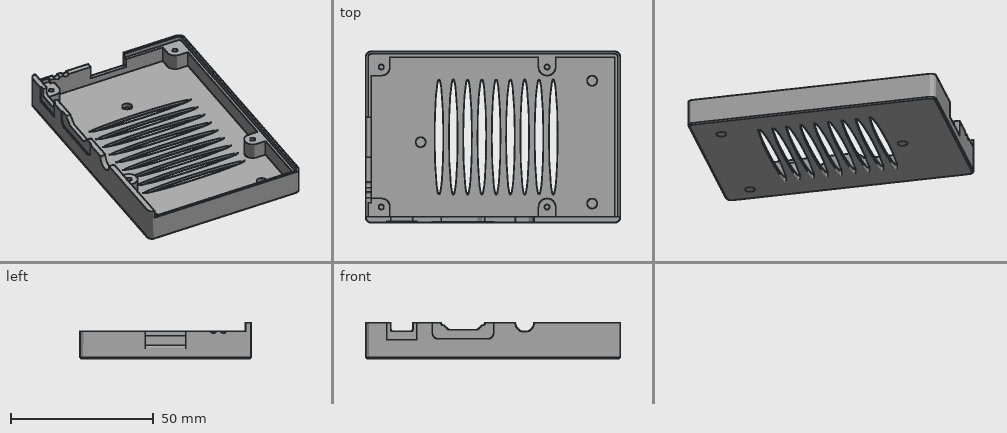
import cadquery as cq

LENGTH = 89.16
WIDTH = 59.96
FRONT_HEIGHT = 12.6
RIM_HEIGHT = 9.6
WALL = 2.0
FLOOR = 2.0
CORNER_RADIUS = 2.0
BOTTOM_CHAMFER = 0.5

LEDGE_HEIGHT = 8.0
RIM_THICKNESS = 0.9
RIM_CORNER_RADIUS = CORNER_RADIUS - RIM_THICKNESS

LEFT = -LENGTH / 2
INNER_LEFT = LEFT + WALL
FRONT = -WIDTH / 2
INNER_FRONT = FRONT + WALL
CAVITY_WIDTH = WIDTH - 2 * WALL

HOLE_INSET = 3.5
HOLE_PITCH_X = 58.0
HOLE_PITCH_Y = 49.0
POST_RADIUS = 3.0
SCREW_DIAMETER = 1.8
SCREW_X = (INNER_LEFT + HOLE_INSET, INNER_LEFT + HOLE_INSET + HOLE_PITCH_X)

RECESS_DIAMETER = 3.5
RECESS_DEPTH = 1.75
RECESS_CENTRES = ((-25.3, -1.8), (34.7, 19.7), (34.7, -23.3))

SLOT_COUNT = 9
SLOT_PITCH = 5.0
SLOT_FIRST_X = -18.9
SLOT_HALF_LENGTH = 20.05
SLOT_HALF_WIDTH = 1.48
SLOT_ROUND = 0.45

CARD_WIDTH = 14.0
CARD_SILL = 4.6
CARD_SILL_ROUND = 1.0

PAD_END_Y = -23.0
GROOVE_RADIUS = 1.1
GROOVE_DEPTH = 0.7
GROOVE_CENTRES_Y = (-16.75, -20.25)

POWER_X = -31.9
POWER_WIDTH = 7.7
POWER_DEPTH = 3.1
POWER_RADIUS = 0.85
POWER_RECESS_WIDTH = 10.4
POWER_RECESS_DEPTH = 6.0
POWER_RECESS_INSET = 0.5

VIDEO_X = -10.5
VIDEO_TOP_WIDTH = 15.3
VIDEO_STEP_DEPTH = 0.9
VIDEO_STEP_WIDTH = 13.45
VIDEO_BOTTOM_WIDTH = 10.1
VIDEO_DEPTH = 2.5
VIDEO_RADIUS = 0.65
VIDEO_RECESS_WIDTH = 21.4
VIDEO_RECESS_DEPTH = 5.7
VIDEO_RECESS_RADIUS = 2.0
VIDEO_RECESS_INSET = 0.4

AUDIO_X = 11.1
AUDIO_RADIUS = 3.25


def block(x_range, y_range, z_range):
    """Axis-aligned box between the given limits."""
    size = [high - low for low, high in (x_range, y_range, z_range)]
    corner = (x_range[0], y_range[0], z_range[0])
    return cq.Workplane("XY").box(*size, centered=False).translate(corner)


def front_plane(x):
    """Workplane on the front face, its origin at the top edge of the front wall."""
    return cq.Workplane("XZ", origin=(x, FRONT, FRONT_HEIGHT))


def make_shell():
    body = cq.Workplane("XY").box(LENGTH, WIDTH, FRONT_HEIGHT, centered=(True, True, False))
    body = body.edges("|Z").fillet(CORNER_RADIUS)
    body = body.faces("<Z").edges().chamfer(BOTTOM_CHAMFER)
    above_rim = block((LEFT, -LEFT), (INNER_FRONT, -FRONT), (RIM_HEIGHT, FRONT_HEIGHT))
    cavity = block((INNER_LEFT, -INNER_LEFT), (INNER_FRONT, -INNER_FRONT), (FLOOR, FRONT_HEIGHT))
    return body.cut(above_rim).cut(cavity)


def make_ledge_cut():
    """Space above the ledge: the rim's inside, minus the front wall and the thick pad."""
    space = (
        cq.Workplane("XY", origin=(0, 0, LEDGE_HEIGHT))
        .rect(LENGTH - 2 * RIM_THICKNESS, WIDTH - 2 * RIM_THICKNESS)
        .extrude(FRONT_HEIGHT - LEDGE_HEIGHT)
        .edges("|Z").fillet(RIM_CORNER_RADIUS)
    )
    front_wall = block((LEFT, -LEFT), (FRONT, INNER_FRONT), (LEDGE_HEIGHT, FRONT_HEIGHT))
    pad = block((LEFT, INNER_LEFT), (PAD_END_Y, -CARD_WIDTH / 2), (LEDGE_HEIGHT, RIM_HEIGHT))
    return space.cut(front_wall).cut(pad)


def make_wall_post(x, side):
    """Post up to the ledge, joined to the front (side -1) or back (side +1) wall."""
    y = side * HOLE_PITCH_Y / 2
    wall_y = side * CAVITY_WIDTH / 2
    z_range = (FLOOR, LEDGE_HEIGHT)
    post = cq.Workplane("XY", origin=(x, y, FLOOR)).circle(POST_RADIUS).extrude(LEDGE_HEIGHT - FLOOR)
    return post.union(block((x - POST_RADIUS, x + POST_RADIUS), sorted((y, wall_y)), z_range))


def make_corner_post(x, side):
    """Wall post that also fills the corner between itself and the left wall."""
    tip_y = side * (HOLE_PITCH_Y / 2 - POST_RADIUS)
    wall_y = side * CAVITY_WIDTH / 2
    corner_fill = block((INNER_LEFT, x), sorted((tip_y, wall_y)), (FLOOR, LEDGE_HEIGHT))
    return make_wall_post(x, side).union(corner_fill)


def make_screw_holes():
    centres = [(x, side * HOLE_PITCH_Y / 2) for x in SCREW_X for side in (-1, 1)]
    plane = cq.Workplane("XY", origin=(0, 0, FLOOR))
    return plane.pushPoints(centres).circle(SCREW_DIAMETER / 2).extrude(LEDGE_HEIGHT - FLOOR)


def make_floor_recesses():
    plane = cq.Workplane("XY", origin=(0, 0, FLOOR))
    return plane.pushPoints(RECESS_CENTRES).circle(RECESS_DIAMETER / 2).extrude(-RECESS_DEPTH)


def cut_slots(body):
    """Cut the ventilation slots and round their upper and lower edges."""
    centres = [(SLOT_FIRST_X + i * SLOT_PITCH, 0) for i in range(SLOT_COUNT)]
    slots = (
        cq.Workplane("XY")
        .pushPoints(centres)
        .ellipse(SLOT_HALF_WIDTH, SLOT_HALF_LENGTH)
        .extrude(FLOOR)
    )
    body = body.cut(slots)
    half_span = SLOT_HALF_LENGTH + SLOT_ROUND
    end_margin = SLOT_PITCH / 2
    slot_rims = cq.selectors.BoxSelector(
        (centres[0][0] - end_margin, -half_span, -SLOT_ROUND),
        (centres[-1][0] + end_margin, half_span, FLOOR + SLOT_ROUND),
        boundingbox=True,
    )
    return body.edges(slot_rims).fillet(SLOT_ROUND)


def make_card_opening():
    half = CARD_WIDTH / 2
    opening = block((LEFT, INNER_LEFT), (-half, half), (CARD_SILL, RIM_HEIGHT))
    r = CARD_SILL_ROUND
    sill_edge = block((LEFT, LEFT + r), (-half, half), (CARD_SILL - r, CARD_SILL))
    kept_round = (
        cq.Workplane("XZ", origin=(LEFT + r, half, CARD_SILL - r)).circle(r).extrude(CARD_WIDTH)
    )
    return opening.union(sill_edge.cut(kept_round))


def make_wall_grooves():
    z = RIM_HEIGHT - GROOVE_DEPTH + GROOVE_RADIUS
    plane = cq.Workplane("YZ", origin=(LEFT, 0, z))
    return plane.pushPoints([(y, 0) for y in GROOVE_CENTRES_Y]).circle(GROOVE_RADIUS).extrude(WALL)


def make_power_opening():
    opening = (
        front_plane(POWER_X)
        .rect(POWER_WIDTH, 2 * POWER_DEPTH)
        .extrude(-WALL)
        .edges("|Y").fillet(POWER_RADIUS)
    )
    recess = (
        front_plane(POWER_X)
        .rect(POWER_RECESS_WIDTH, 2 * POWER_RECESS_DEPTH)
        .extrude(-POWER_RECESS_INSET)
    )
    return opening.union(recess)


def make_video_opening():
    """Stepped, tapered opening; its profile runs on above the wall to keep the top edges sharp."""
    top_y = VIDEO_DEPTH
    opening = (
        front_plane(VIDEO_X)
        .moveTo(-VIDEO_TOP_WIDTH / 2, top_y)
        .lineTo(-VIDEO_TOP_WIDTH / 2, -VIDEO_STEP_DEPTH)
        .lineTo(-VIDEO_STEP_WIDTH / 2, -VIDEO_STEP_DEPTH)
        .lineTo(-VIDEO_BOTTOM_WIDTH / 2, -VIDEO_DEPTH)
        .lineTo(VIDEO_BOTTOM_WIDTH / 2, -VIDEO_DEPTH)
        .lineTo(VIDEO_STEP_WIDTH / 2, -VIDEO_STEP_DEPTH)
        .lineTo(VIDEO_TOP_WIDTH / 2, -VIDEO_STEP_DEPTH)
        .lineTo(VIDEO_TOP_WIDTH / 2, top_y)
        .close()
        .extrude(-WALL)
        .edges("|Y").fillet(VIDEO_RADIUS)
    )
    recess = (
        front_plane(VIDEO_X)
        .rect(VIDEO_RECESS_WIDTH, 2 * VIDEO_RECESS_DEPTH)
        .extrude(-VIDEO_RECESS_INSET)
        .edges("|Y").fillet(VIDEO_RECESS_RADIUS)
    )
    return opening.union(recess)


def make_audio_opening():
    return front_plane(AUDIO_X).circle(AUDIO_RADIUS).extrude(-WALL)


case = make_shell()
for wall_side in (-1, 1):
    case = case.union(make_corner_post(SCREW_X[0], wall_side))
    case = case.union(make_wall_post(SCREW_X[1], wall_side))
case = case.cut(make_ledge_cut())
case = cut_slots(case)
for cutter in (
    make_screw_holes(),
    make_floor_recesses(),
    make_card_opening(),
    make_wall_grooves(),
    make_power_opening(),
    make_video_opening(),
    make_audio_opening(),
):
    case = case.cut(cutter)

result = case